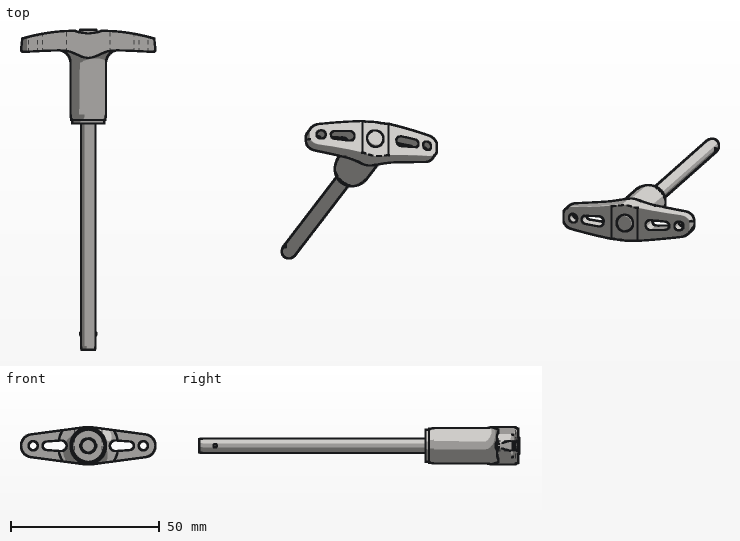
import cadquery as cq
import math


total_length = 107.6
handle_length = 45.2
handle_height = 12.64

shank_length = 76.05
shank_radius = 2.5
tip_length = 1.3
tip_radius = 2.3
ball_radius = 0.75
ball_protrusion = 0.25
ball_from_tip = 5.4

barrel_radius = 6.0
collar_radius = 5.4
collar_length = 1.2
taper_radius = 5.75
taper_end = 2.9
flare_start = 20.46
flare_radius = 4.08

end_round_radius = 3.9
center_flat_half_width = 0.86
half_length = handle_length / 2
half_height = handle_height / 2
end_center = half_length - end_round_radius

flare_top = flare_start + flare_radius
underside_crown = 24.69
underside_at_end = 24.0
end_corner_radius = 0.9
end_top_x = 22.2
end_top_y = 28.55
ridge_x = 4.6
ridge_y = 31.22
top_arc_x = 14.0
top_arc_y = 30.42
saddle_y = 30.3
rim_fillet = 0.25

hole_x = 18.5
hole_radius = 1.5
slot_outer_x = 15.3
slot_outer_radius = 1.4
slot_inner_x = 7.3
slot_inner_radius = 1.75

button_radius = 2.8
button_fillet = 0.3
button_top = total_length - shank_length


def tangent_angle(spacing, radius_change):
    """Angle at which a common tangent touches two circles a given spacing apart on the X axis."""
    return math.acos(radius_change / spacing)


def circle_point(center_x, radius, angle):
    """Point on a circle centred on the X axis."""
    return center_x + radius * math.cos(angle), radius * math.sin(angle)


def revolved(sketch):
    """Turn a half profile (radius, Y) about the pin axis."""
    return sketch.close().revolve(360, (0, 0, 0), (0, 1, 0))


def make_pin_body():
    """Shank, collar, tapered barrel end and barrel in one turned profile."""
    return revolved(
        cq.Workplane("XY")
        .moveTo(0, -shank_length)
        .lineTo(tip_radius, -shank_length)
        .lineTo(shank_radius, tip_length - shank_length)
        .lineTo(shank_radius, 0)
        .lineTo(collar_radius, 0)
        .lineTo(collar_radius, collar_length)
        .lineTo(taper_radius, collar_length)
        .lineTo(barrel_radius, taper_end)
        .lineTo(barrel_radius, flare_top)
        .lineTo(0, flare_top)
    )


def make_flare():
    """Concave flare from the barrel up to the underside of the handle."""
    outer_radius = barrel_radius + flare_radius
    diagonal = flare_radius * math.sqrt(0.5)
    blend_top = (flare_top + ridge_y) / 2
    return revolved(
        cq.Workplane("XY")
        .moveTo(0, flare_start)
        .lineTo(barrel_radius, flare_start)
        .threePointArc(
            (outer_radius - diagonal, flare_start + diagonal),
            (outer_radius, flare_top),
        )
        .lineTo(outer_radius - flare_radius / 2, blend_top)
        .lineTo(0, blend_top)
    )


def make_handle_profile():
    """Arched side profile of the handle with a saddle in the middle, extruded along Z."""
    corner_x = half_length - end_corner_radius
    corner_y = underside_at_end + end_corner_radius
    diagonal = end_corner_radius * math.sqrt(0.5)
    return (
        cq.Workplane("XY")
        .moveTo(-corner_x, underside_at_end)
        .threePointArc((0, underside_crown), (corner_x, underside_at_end))
        .threePointArc((corner_x + diagonal, corner_y - diagonal), (half_length, corner_y))
        .lineTo(end_top_x, end_top_y)
        .threePointArc((top_arc_x, top_arc_y), (ridge_x, ridge_y))
        .threePointArc((0, saddle_y), (-ridge_x, ridge_y))
        .threePointArc((-top_arc_x, top_arc_y), (-end_top_x, end_top_y))
        .lineTo(-half_length, corner_y)
        .threePointArc((-corner_x - diagonal, corner_y - diagonal), (-corner_x, underside_at_end))
        .close()
        .extrude(half_height, both=True)
    )


def make_handle_outline():
    """Prism along Y: narrow flats at the middle, straight tapers and round ends."""
    run = end_center - center_flat_half_width
    reach = math.hypot(run, half_height)
    angle = math.atan2(half_height, -run) - math.acos(end_round_radius / reach)
    x, z = circle_point(end_center, end_round_radius, angle)
    return (
        cq.Workplane("XZ")
        .moveTo(-center_flat_half_width, half_height)
        .lineTo(center_flat_half_width, half_height)
        .lineTo(x, z)
        .threePointArc((half_length, 0), (x, -z))
        .lineTo(center_flat_half_width, -half_height)
        .lineTo(-center_flat_half_width, -half_height)
        .lineTo(-x, -z)
        .threePointArc((-half_length, 0), (-x, z))
        .close()
        .extrude(-button_top)
    )


def round_rim(handle):
    """Soften the edge between the arched top and the sides of the handle."""
    zone_bottom = end_top_y - rim_fillet
    rim_zone = cq.selectors.BoxSelector(
        (-handle_length, zone_bottom, -handle_height),
        (handle_length, button_top, handle_height),
    )
    top_edges = handle.edges(rim_zone)
    wing_tips = top_edges.edges("<X or >X")
    rim = top_edges.edges("not |Z").add(wing_tips)
    return rim.fillet(rim_fillet)


def make_openings(side):
    """Round hole and tapered slot through one wing; side is +1 or -1 along X."""
    inner_center = slot_inner_x + slot_inner_radius
    outer_center = slot_outer_x - slot_outer_radius
    angle = tangent_angle(outer_center - inner_center, slot_inner_radius - slot_outer_radius)
    inner_x, inner_z = circle_point(inner_center, slot_inner_radius, angle)
    outer_x, outer_z = circle_point(outer_center, slot_outer_radius, angle)
    slot = (
        cq.Workplane("XZ")
        .moveTo(side * inner_x, inner_z)
        .lineTo(side * outer_x, outer_z)
        .threePointArc((side * slot_outer_x, 0), (side * outer_x, -outer_z))
        .lineTo(side * inner_x, -inner_z)
        .threePointArc((side * slot_inner_x, 0), (side * inner_x, inner_z))
        .close()
        .extrude(-button_top)
    )
    hole = cq.Workplane("XZ").center(side * hole_x, 0).circle(hole_radius).extrude(-button_top)
    return slot.union(hole)


def make_button():
    """Release button standing up in the saddle of the handle."""
    return (
        cq.Workplane("XZ", origin=(0, flare_top, 0))
        .circle(button_radius)
        .extrude(flare_top - button_top)
        .faces(">Y")
        .edges()
        .fillet(button_fillet)
    )


def make_ball(side):
    """Locking ball that peeks out of the shank near its tip."""
    ball_x = shank_radius + ball_protrusion - ball_radius
    ball_y = ball_from_tip - shank_length
    return cq.Workplane("XY").sphere(ball_radius).translate((side * ball_x, ball_y, 0))


handle = make_handle_profile().union(make_flare()).intersect(make_handle_outline())
handle = round_rim(handle)
for side in (-1, 1):
    handle = handle.cut(make_openings(side))

result = make_pin_body().union(handle).union(make_button())
for side in (-1, 1):
    result = result.union(make_ball(side))